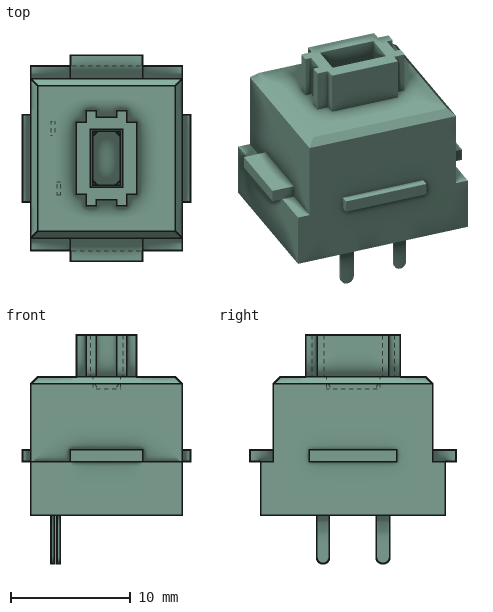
import cadquery as cq

total_height = 19.15
pin_length = 4.05
base_height = 4.5
stem_height = 3.5
base_top = pin_length + base_height
body_top = total_height - stem_height

body_width = 12.7
base_depth = 15.45
upper_depth = 13.35
rim_bevel = 0.6

tab_thickness = 1.0
side_tab_span = 14.1
side_tab_length = 7.32
end_tab_span = 17.25
end_tab_length = 6.05

stem_width = 5.05
stem_core_depth = 6.9
stem_side_depth = 6.01
stem_neck_width = 3.43
stem_rib_depth = 7.95
rib_gap = 1.69

pocket_width = 2.68
pocket_depth = 4.86
well_width = 2.32
well_depth = 4.5
pocket_drop = stem_height
well_drop = 1.0
facet_leg = 0.4
facet_height = 0.73

pin_thickness = 0.3
pins = [
    (-4.5, 2.5, 1.17),
    (-4.0, -2.5, 1.07),
]


def block(width, depth, bottom, height):
    """Box centred in X and Y that rises from the given Z."""
    return cq.Workplane("XY").workplane(offset=bottom).rect(width, depth).extrude(height)


def make_housing():
    base = block(body_width, base_depth, pin_length, base_height)
    upper = block(body_width, upper_depth, pin_length, body_top - pin_length)
    return base.union(upper.faces(">Z").edges().chamfer(rim_bevel))


def make_tabs():
    side_tabs = block(side_tab_span, side_tab_length, base_top, tab_thickness)
    end_tabs = block(end_tab_length, end_tab_span, base_top, tab_thickness)
    return side_tabs.union(end_tabs)


def make_stem():
    ribs = block(stem_neck_width, stem_rib_depth, body_top, stem_height)
    ribs = ribs.cut(block(rib_gap, stem_rib_depth, body_top, stem_height))
    core = block(stem_neck_width, stem_core_depth, body_top, stem_height)
    sides = block(stem_width, stem_side_depth, body_top, stem_height)
    return ribs.union(core).union(sides)


def make_corner_facet(floor, x_sign, y_sign):
    """Three-sided pyramid that fills one bottom corner of the well."""
    x_wall = x_sign * well_width / 2
    y_wall = y_sign * well_depth / 2
    corner = cq.Vector(x_wall, y_wall, floor)
    along_x = cq.Vector(x_wall - x_sign * facet_leg, y_wall, floor)
    along_y = cq.Vector(x_wall, y_wall - y_sign * facet_leg, floor)
    apex = cq.Vector(x_wall, y_wall, floor + facet_height)
    triangles = [
        (corner, along_x, along_y),
        (corner, along_x, apex),
        (corner, along_y, apex),
        (along_x, along_y, apex),
    ]
    faces = [cq.Face.makeFromWires(cq.Wire.makePolygon(points, close=True)) for points in triangles]
    return cq.Solid.makeSolid(cq.Shell.makeShell(faces))


def make_pocket():
    ledge = total_height - pocket_drop
    floor = ledge - well_drop
    opening = block(pocket_width, pocket_depth, ledge, pocket_drop)
    well = block(well_width, well_depth, floor, well_drop)
    for x_sign in (-1, 1):
        for y_sign in (-1, 1):
            well = well.cut(cq.Workplane(obj=make_corner_facet(floor, x_sign, y_sign)))
    return opening.union(well)


def make_pin(x, y, width):
    radius = width / 2
    return (
        cq.Workplane("YZ", origin=(x - pin_thickness / 2, y, 0))
        .moveTo(-radius, pin_length)
        .lineTo(-radius, radius)
        .threePointArc((0, 0), (radius, radius))
        .lineTo(radius, pin_length)
        .close()
        .extrude(pin_thickness)
    )


result = make_housing().union(make_tabs()).union(make_stem()).cut(make_pocket())
for pin_x, pin_y, pin_width in pins:
    result = result.union(make_pin(pin_x, pin_y, pin_width))